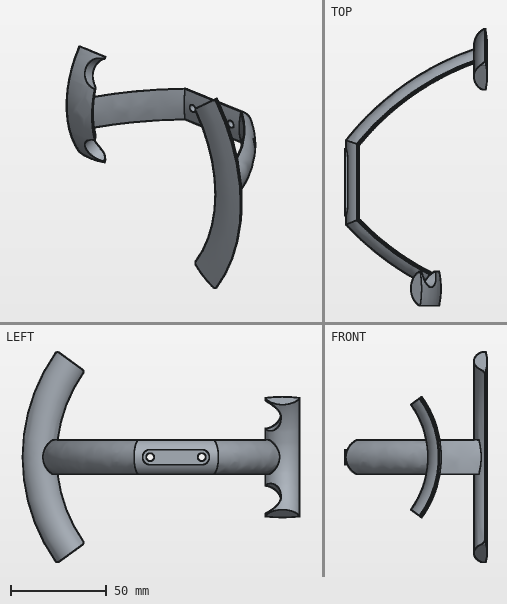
import cadquery as cq
import math

BAR_WIDTH = 18.0
FRONT_RADIUS = 10.0
SIDE_HEIGHT = 0.51
BACK_RISE = 0.94

WALL_BAR_HALF_LENGTH = 19.9

PAD_HEIGHT = 0.6
PAD_WIDTH = 8.0
SCREW_SPACING = 27.0
SCREW_DIAMETER = 4.0

ARM_RADIUS = 139.9
UPPER_ARM_HEADING = 39.0
UPPER_ARM_REACH = 71.0
LOWER_ARM_HEADING = 43.6
LOWER_ARM_REACH = 47.8

ARCH_HALF_ANGLE = 36.0
FORK_OUTER_RADIUS = 94.5
FORK_TOP = 80.3
FORK_BACK = 74.0
FORK_CORNER_RADIUS = 1.38
HOOK_OUTER_RADIUS = 53.8
HOOK_BACK = 49.9
HOOK_BOTTOM = -64.7
NOTCH_RADIUS = 8.3
NOTCH_ANGLE = 25.5

half_width = BAR_WIDTH / 2
front_depth = FRONT_RADIUS - math.sqrt(FRONT_RADIUS**2 - half_width**2)
back_edge = front_depth + SIDE_HEIGHT
side_middle = front_depth + SIDE_HEIGHT / 2
bar_thickness = back_edge + BACK_RISE


def polar(radius, degrees):
    angle = math.radians(degrees)
    return (radius * math.cos(angle), radius * math.sin(angle))


def bar_section(workplane, front, middle):
    """Lens with its front crest at local (front, middle), facing local -x."""
    low = middle - half_width
    high = middle + half_width
    return (
        workplane.moveTo(front + front_depth, low)
        .threePointArc((front, middle), (front + front_depth, high))
        .lineTo(front + back_edge, high)
        .threePointArc((front + bar_thickness, middle), (front + back_edge, low))
        .close()
    )


def half_frame(side, heading, reach):
    """Half of the wall bar and its arm, on the +Y (side 1) or -Y (side -1) half."""
    offset_x, offset_y = polar(ARM_RADIUS, heading)
    center_x = side_middle + offset_x
    center_y = WALL_BAR_HALF_LENGTH - offset_y

    def arm_point(x):
        height = math.sqrt(ARM_RADIUS**2 - (x - center_x) ** 2)
        return (x, side * (center_y + height))

    path = (
        cq.Workplane("XY")
        .moveTo(side_middle, 0)
        .lineTo(side_middle, side * WALL_BAR_HALF_LENGTH)
        .threePointArc(arm_point((side_middle + reach) / 2), arm_point(reach))
    )
    section = bar_section(cq.Workplane("XZ"), 0, 0)
    return section.sweep(path, transition="right")


def pad_face():
    return cq.Workplane("YZ", origin=(-PAD_HEIGHT, 0, 0))


def mounting_pad():
    pad_length = SCREW_SPACING + PAD_WIDTH
    return pad_face().slot2D(pad_length, PAD_WIDTH).extrude(PAD_HEIGHT + front_depth)


def screw_holes():
    return (
        pad_face()
        .pushPoints([(-SCREW_SPACING / 2, 0), (SCREW_SPACING / 2, 0)])
        .circle(SCREW_DIAMETER / 2)
        .extrude(PAD_HEIGHT + bar_thickness)
    )


def fork():
    """Bar arched about an axis along X, opening towards -Y, with rounded end corners."""
    origin = (FORK_BACK - bar_thickness, FORK_TOP - FORK_OUTER_RADIUS, 0)
    section = bar_section(cq.Workplane("XY", origin=origin), 0, FORK_OUTER_RADIUS - half_width)
    arch = section.revolve(2 * ARCH_HALF_ANGLE, (0, 0, 0), (1, 0, 0))
    arch = arch.rotate(origin, (origin[0] + 1.5, origin[1], 0), -ARCH_HALF_ANGLE)
    return arch.edges("|X").fillet(FORK_CORNER_RADIUS)


def hook():
    """Bar arched about an axis along Y, opening towards -X, notched along its +Y side."""
    center_x = HOOK_BACK - HOOK_OUTER_RADIUS
    origin = (center_x, HOOK_BOTTOM + half_width, 0)
    section = bar_section(cq.Workplane("XY", origin=origin), HOOK_OUTER_RADIUS - bar_thickness, 0)
    arch = section.revolve(2 * ARCH_HALF_ANGLE, (0, 0, 0), (0, 1, 0))
    arch = arch.rotate(origin, (origin[0], origin[1] + 1.5, 0), -ARCH_HALF_ANGLE)
    for angle in (-NOTCH_ANGLE, NOTCH_ANGLE):
        outward_x, outward_z = polar(1, angle)
        notch_plane = cq.Plane(
            origin=(center_x, HOOK_BOTTOM + BAR_WIDTH, 0),
            xDir=(0, 1, 0),
            normal=(outward_x, 0, outward_z),
        )
        notch = cq.Workplane(notch_plane).circle(NOTCH_RADIUS)
        arch = arch.cut(notch.extrude(HOOK_OUTER_RADIUS + bar_thickness))
    return arch


result = (
    half_frame(1, UPPER_ARM_HEADING, UPPER_ARM_REACH)
    .union(half_frame(-1, LOWER_ARM_HEADING, LOWER_ARM_REACH))
    .union(mounting_pad())
    .cut(screw_holes())
    .union(fork())
    .union(hook())
    .clean()
    .solids()
)